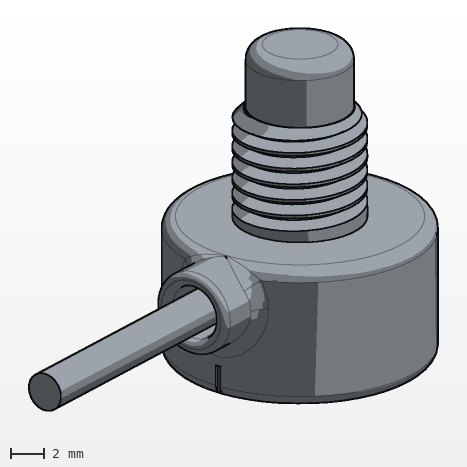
import cadquery as cq
import math

overall_length = 33.55

housing_radius = 8.15
housing_height = 8.8
top_edge_radius = 0.8
bottom_edge_radius = 0.7

shank_height = 7.0
shank_radius = 4.0
shank_chamfer = 0.75
thread_turns_per_shank = 7
thread_pitch = shank_height / thread_turns_per_shank
thread_depth = 0.7
thread_half_angle = math.radians(30)
groove_clearance = 0.07
groove_start_height = 0.55
tip_height = 4.0
tip_diameter = 6.4
tip_edge_radius = 0.97

spout_radius = 2.6
spout_end = 10.87
spout_top_drop = 0.007
spout_axis_height = housing_height - spout_top_drop - spout_radius
spout_blend_radius = 1.0
spout_rim_radius = 0.4
bore_radius = 1.68
bore_rim_radius = 0.47
bore_depth = 4.03
bore_bottom = spout_end - bore_depth

slit_width = 0.3
slit_height = 1.98
slit_depth = 0.17

cable_radius = 1.17
cable_end = overall_length - housing_radius


def along_spout(radius, inner_end, outer_end):
    """Cylinder on the spout axis between two distances from the housing axis."""
    return (
        cq.Workplane("XZ", origin=(0, -inner_end, spout_axis_height))
        .circle(radius)
        .extrude(outer_end - inner_end)
    )


def make_drum():
    """Round housing and its spout, blended where they meet."""
    drum = cq.Workplane("XY").circle(housing_radius).extrude(housing_height)
    drum = drum.faces("<Z").edges().fillet(bottom_edge_radius)
    drum = drum.faces(">Z").edges().fillet(top_edge_radius)
    drum = drum.union(along_spout(spout_radius, 0, spout_end))
    seam = [edge for edge in drum.edges().vals() if edge.geomType() not in ("CIRCLE", "LINE")]
    return drum.newObject(seam).fillet(spout_blend_radius)


def make_thread_groove():
    """Right-hand V groove around the shank, starting on the +Y side."""
    root_radius = shank_radius - thread_depth
    mouth_radius = shank_radius + groove_clearance
    mouth_half_width = (mouth_radius - root_radius) * math.tan(thread_half_angle)
    helix_height = shank_height - groove_start_height + thread_pitch
    helix = cq.Wire.makeHelix(thread_pitch, helix_height, root_radius)
    groove = (
        cq.Workplane("XZ")
        .moveTo(root_radius, 0)
        .lineTo(mouth_radius, mouth_half_width)
        .lineTo(mouth_radius, -mouth_half_width)
        .close()
        .sweep(cq.Workplane(helix), isFrenet=True)
    )
    return groove.rotate((0, 0, 0), (0, 0, 1), 90).translate((0, 0, groove_start_height))


def make_shank():
    """Threaded shank with a chamfered end, standing on Z = 0.

    The thread is cut into a longer blank, which is then trimmed to the shank outline.
    """
    blank_height = shank_height + 2 * thread_pitch
    blank = cq.Workplane("XY").circle(shank_radius).extrude(blank_height)
    outline = cq.Workplane("XY").circle(shank_radius).extrude(shank_height)
    outline = outline.faces(">Z").chamfer(shank_chamfer)
    return blank.cut(make_thread_groove()).intersect(outline)


def make_tip():
    """Plain tip with a rounded end, standing on Z = 0."""
    tip = cq.Workplane("XY").circle(tip_diameter / 2).extrude(tip_height)
    return tip.faces(">Z").edges().fillet(tip_edge_radius)


def make_slit():
    """Shallow upright slit, open at the housing bottom."""
    return (
        cq.Workplane("XY", origin=(0, -housing_radius, 0))
        .box(slit_width, 2 * slit_depth, slit_height, centered=(True, True, False))
    )


def make_housing():
    """Drum with the bored spout, the slit, the threaded shank and the tip, in one piece."""
    housing = make_drum()
    housing = housing.faces("<Y").edges().fillet(spout_rim_radius)
    housing = housing.cut(along_spout(bore_radius, bore_bottom, spout_end))
    bore_mouth = cq.selectors.RadiusNthSelector(0)
    housing = housing.faces("<Y").edges(bore_mouth).fillet(bore_rim_radius)
    housing = housing.cut(make_slit())
    shank = make_shank().translate((0, 0, housing_height))
    tip = make_tip().translate((0, 0, housing_height + shank_height))
    return housing.union(shank).union(tip)


def make_cable():
    """Straight round cable, from the bottom of the bore to its free end."""
    return along_spout(cable_radius, bore_bottom, cable_end)


housing = make_housing()
cable = make_cable()
result = cq.Compound.makeCompound([housing.val(), cable.val()])